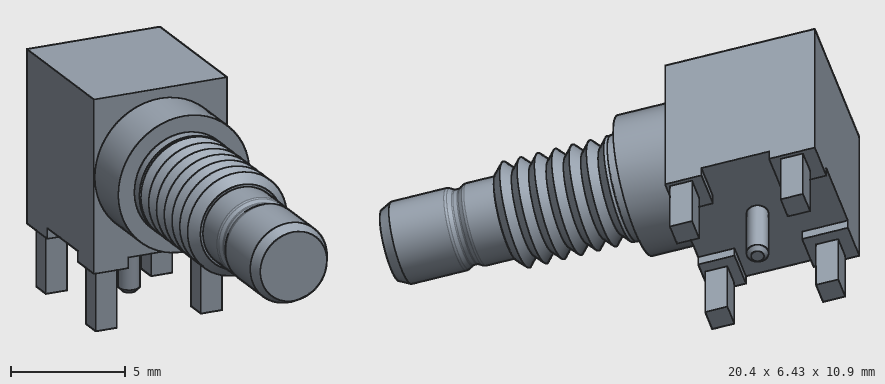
import cadquery as cq
import math


overall_length = 20.45
overall_height = 10.92

block_width = 6.43
front_face_x = block_width / 2
back_face_x = -3.645
block_top_z = 3.64
block_height = 8.15
block_bottom_z = block_top_z - block_height
relief_width = 3.1
relief_depth = 0.5
relief_ceiling_z = block_bottom_z + relief_depth

collar_radius = 3.175
collar_length = 2.4
collar_end_x = front_face_x + collar_length
thread_radius = 2.4
thread_depth = 0.42
thread_root_radius = thread_radius - thread_depth
thread_pitch = 0.794
thread_crests = 7
collar_to_first_crest = 0.67
first_crest_x = collar_end_x + collar_to_first_crest
last_crest_x = first_crest_x + (thread_crests - 1) * thread_pitch
thread_end_x = last_crest_x + thread_depth
thread_relief_length = 0.16
shoulder_end_x = first_crest_x - thread_relief_length
thread_flank_slope = thread_depth / (thread_pitch / 2)
thread_relief_radius = thread_radius - thread_relief_length * thread_flank_slope
nose_radius = 1.86
nose_end_x = back_face_x + overall_length
nose_chamfer_length = 0.5
nose_chamfer_depth = 0.25

groove_centre_x = 13.34
groove_mouth_half = 0.396
groove_floor_half = 0.125
groove_wall_angle = 30
groove_depth = (groove_mouth_half - groove_floor_half) * math.tan(math.radians(groove_wall_angle))
groove_floor_radius = nose_radius - groove_depth
groove_mouth_fillet = 0.24
groove_floor_fillet = 0.12

leg_size = 1.02
leg_spacing = 5.08
leg_length = overall_height - block_height
pin_radius = 0.485
pin_length = 2.9
pin_chamfer = 0.2

tolerance = 0.001


def make_block():
    """Rectangular block with two crossing channels that leave a foot at each corner."""
    block_length = front_face_x - back_face_x
    block_centre_x = (front_face_x + back_face_x) / 2
    base = cq.Workplane("XY", origin=(0, 0, block_bottom_z))
    block = base.center(block_centre_x, 0).rect(block_length, block_width).extrude(block_height)
    channel_along_x = base.center(block_centre_x, 0).rect(block_length, relief_width).extrude(relief_depth)
    channel_along_y = base.rect(relief_width, block_width).extrude(relief_depth)
    return block.cut(channel_along_x).cut(channel_along_y)


def make_barrel():
    """Turned barrel, with ring-shaped thread ridges and a filleted groove in the nose."""
    profile = (
        cq.Workplane("XZ")
        .moveTo(front_face_x, 0)
        .lineTo(front_face_x, collar_radius)
        .lineTo(collar_end_x, collar_radius)
        .lineTo(collar_end_x, thread_radius)
        .lineTo(shoulder_end_x, thread_radius)
        .lineTo(shoulder_end_x, thread_relief_radius)
        .lineTo(first_crest_x, thread_radius)
    )
    for index in range(1, thread_crests):
        crest_x = first_crest_x + index * thread_pitch
        profile = profile.lineTo(crest_x - thread_pitch / 2, thread_root_radius)
        profile = profile.lineTo(crest_x, thread_radius)
    profile = (
        profile.lineTo(thread_end_x, thread_root_radius)
        .lineTo(thread_end_x, nose_radius)
        .lineTo(groove_centre_x - groove_mouth_half, nose_radius)
        .lineTo(groove_centre_x - groove_floor_half, groove_floor_radius)
        .lineTo(groove_centre_x + groove_floor_half, groove_floor_radius)
        .lineTo(groove_centre_x + groove_mouth_half, nose_radius)
        .lineTo(nose_end_x - nose_chamfer_length, nose_radius)
        .lineTo(nose_end_x, nose_radius - nose_chamfer_depth)
        .lineTo(nose_end_x, 0)
        .close()
    )
    barrel = profile.revolve(360, (0, 0, 0), (1, 0, 0))
    barrel = fillet_groove_rims(barrel, groove_mouth_half, groove_mouth_fillet)
    return fillet_groove_rims(barrel, groove_floor_half, groove_floor_fillet)


def fillet_groove_rims(barrel, half_width, fillet_radius):
    """Round the two circular groove edges that lie half_width either side of its centre."""

    def is_rim(edge):
        offset = abs(edge.Center().x - groove_centre_x)
        return edge.geomType() == "CIRCLE" and abs(offset - half_width) < tolerance

    return barrel.edges().filter(is_rim).fillet(fillet_radius)


def make_leg(x, y):
    """Square solder leg hanging from a corner foot of the block."""
    base = cq.Workplane("XY", origin=(x, y, block_bottom_z))
    return base.rect(leg_size, leg_size).extrude(-leg_length)


def make_pin():
    """Round contact pin with a chamfered tip, hanging from the channel ceiling."""
    base = cq.Workplane("XY", origin=(0, 0, relief_ceiling_z))
    return base.circle(pin_radius).extrude(-pin_length).faces("<Z").chamfer(pin_chamfer)


housing = make_block().union(make_barrel())

legs = []
for x_side in (-1, 1):
    for y_side in (-1, 1):
        legs.append(make_leg(x_side * leg_spacing / 2, y_side * leg_spacing / 2))

contact_pin = make_pin()

result = cq.Compound.makeCompound([housing.solids().val(), *[leg.val() for leg in legs], contact_pin.val()])